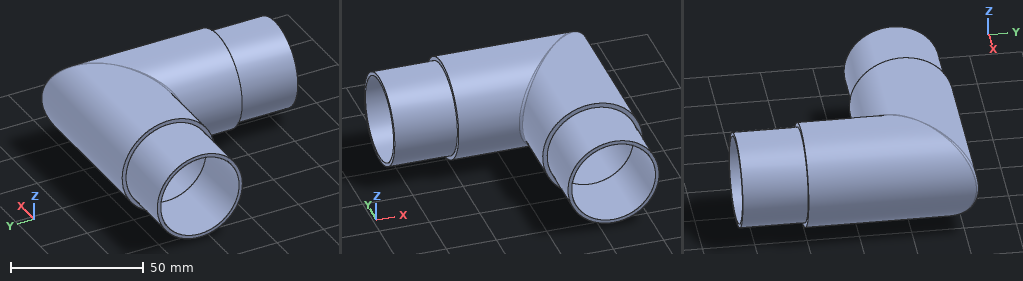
import cadquery as cq


overall_length = 90.0
tube_diameter = 40.0
cavity_diameter = 37.0
miter_fillet_radius = 1.0

spigot_length = 24.9
x_spigot_diameter = 36.6
x_bore_diameter = 33.7
y_spigot_diameter = 36.4
y_bore_diameter = 33.4

ring_thickness = (tube_diameter - cavity_diameter) / 2

leg_reach = overall_length - tube_diameter / 2
shoulder_reach = leg_reach - spigot_length
cavity_reach = shoulder_reach - ring_thickness

cutter_size = 2 * overall_length
plain_half_width = 0.1
plane_tolerance = 0.0001

X_LEG = cq.Vector(-1, 0, 0)
Y_LEG = cq.Vector(0, -1, 0)


def leg_rod(direction, diameter, start_reach, end_reach):
    """Round bar along a leg axis between two distances from the origin."""
    length = end_reach - start_reach
    return cq.Workplane(obj=cq.Solid.makeCylinder(diameter / 2, length, direction * start_reach, direction))


def miter_half(far_corner):
    """Prism filling the side of the miter plane X = Y that holds the given corner."""
    outline = [(-cutter_size, -cutter_size), (cutter_size, cutter_size), far_corner]
    return cq.Workplane("XY").polyline(outline).close().extrude(tube_diameter, both=True)


def mitered_rods(diameter, reach):
    """Two round bars cut at the miter plane and joined into a bend."""
    x_rod = leg_rod(X_LEG, diameter, -tube_diameter, reach).intersect(miter_half((-cutter_size, cutter_size)))
    y_rod = leg_rod(Y_LEG, diameter, -tube_diameter, reach).intersect(miter_half((cutter_size, -cutter_size)))
    return x_rod.union(y_rod)


def diagonal_slab(near, far):
    """Slab square to the bend's diagonal, between two distances from the origin (outward positive)."""
    slab_side = 2 * cutter_size
    slab = cq.Workplane("YZ", origin=(near, 0, 0)).rect(slab_side, slab_side).extrude(far - near)
    return slab.rotate((0, 0, 0), (0, 0, 1), 45)


def lies_on_miter(edge):
    """True when the edge's start, middle and end are all in the plane X = Y."""
    points = [edge.positionAt(fraction) for fraction in (0, 0.5, 1)]
    return all(abs(point.x - point.y) < plane_tolerance for point in points)


def round_miter_edge(body):
    """Body with its edge along the miter plane filleted."""
    return body.newObject(body.edges().filter(lies_on_miter).vals()).fillet(miter_fillet_radius)


sharp_elbow = mitered_rods(tube_diameter, shoulder_reach)
outside = sharp_elbow.intersect(diagonal_slab(plain_half_width, cutter_size))
middle = sharp_elbow.intersect(diagonal_slab(-plain_half_width, plain_half_width))
inside = sharp_elbow.intersect(diagonal_slab(-cutter_size, -plain_half_width))
elbow = round_miter_edge(outside).union(middle).union(round_miter_edge(inside))

result = elbow.cut(mitered_rods(cavity_diameter, cavity_reach))

for direction, spigot_diameter, bore_diameter in (
    (X_LEG, x_spigot_diameter, x_bore_diameter),
    (Y_LEG, y_spigot_diameter, y_bore_diameter),
):
    spigot = leg_rod(direction, spigot_diameter, shoulder_reach, leg_reach)
    bore = leg_rod(direction, bore_diameter, cavity_reach, leg_reach)
    result = result.union(spigot).cut(bore)